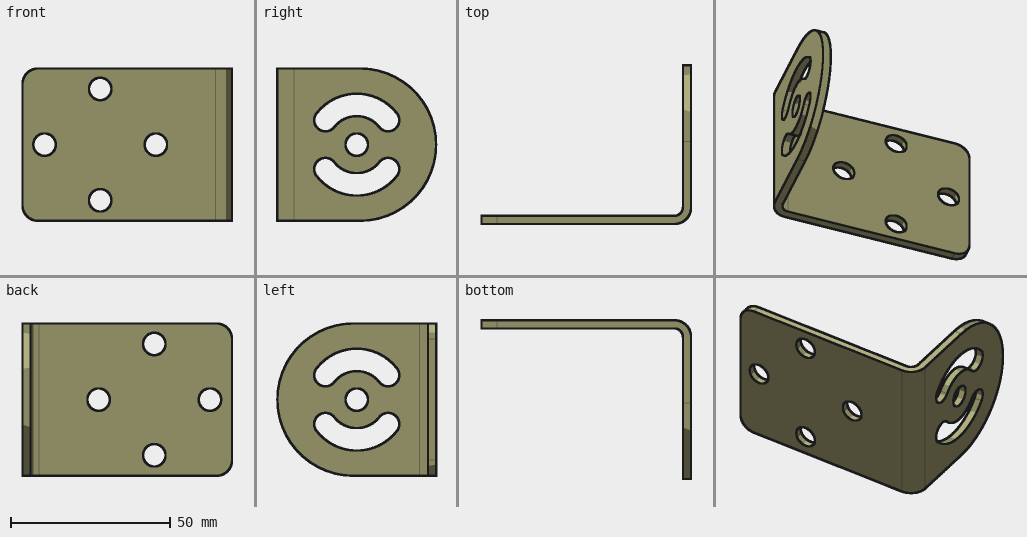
import cadquery as cq
import math

length_x = 66.0
length_y = 50.0
height = 48.0
thickness = 2.65
inner_bend_radius = 2.65
outer_bend_radius = inner_bend_radius + thickness

corner_radius = 5.0
hole_diameter = 7.0
hole_count = 4
hole_circle_radius = 17.5
hole_circle_x = 24.5

end_radius = height / 2
end_center_y = length_y - end_radius
pivot_y = 25.0
slot_width = hole_diameter
slot_radius = 12.5
slot_end_angle = 38.0

cut_margin = 1.0
cut_depth = thickness + 2 * cut_margin


def bent_sheet():
    """L-shaped sheet with a rounded bend, extruded along Z."""
    bend_x = length_x - outer_bend_radius
    bend_y = outer_bend_radius
    diagonal = math.sqrt(0.5)
    outer_mid = (bend_x + outer_bend_radius * diagonal, bend_y - outer_bend_radius * diagonal)
    inner_mid = (bend_x + inner_bend_radius * diagonal, bend_y - inner_bend_radius * diagonal)
    return (
        cq.Workplane("XY", origin=(0, 0, -height / 2))
        .moveTo(0, 0)
        .lineTo(bend_x, 0)
        .threePointArc(outer_mid, (length_x, bend_y))
        .lineTo(length_x, length_y)
        .lineTo(length_x - thickness, length_y)
        .lineTo(length_x - thickness, bend_y)
        .threePointArc(inner_mid, (bend_x, thickness))
        .lineTo(0, thickness)
        .close()
        .extrude(height)
    )


def rounded_outline():
    """Envelope that rounds the free ends of both flanges."""
    mounting_outline = (
        cq.Workplane("XZ")
        .rect(length_x, height)
        .extrude(-length_y)
        .translate((length_x / 2, 0, 0))
        .edges("|Y and <X")
        .fillet(corner_radius)
    )
    pivot_outline = (
        cq.Workplane("YZ")
        .moveTo(0, -end_radius)
        .lineTo(end_center_y, -end_radius)
        .threePointArc((length_y, 0), (end_center_y, end_radius))
        .lineTo(0, end_radius)
        .close()
        .extrude(length_x)
    )
    return mounting_outline.intersect(pivot_outline)


def mounting_holes():
    """Four holes on a circle through the mounting flange."""
    return (
        cq.Workplane("XZ", origin=(hole_circle_x, -cut_margin, 0))
        .polarArray(hole_circle_radius, 0, 360, hole_count)
        .circle(hole_diameter / 2)
        .extrude(-cut_depth)
    )


def pivot_plane():
    """Plane just inside the pivot flange, centered on the pivot."""
    return cq.Workplane("YZ", origin=(length_x - thickness - cut_margin, pivot_y, 0))


def pivot_hole():
    return pivot_plane().circle(hole_diameter / 2).extrude(cut_depth)


def curved_slot(side):
    """Arc slot around the pivot: side is +1 above it and -1 below it."""
    end_angle = math.radians(slot_end_angle)
    inner_radius = slot_radius - slot_width / 2
    outer_radius = slot_radius + slot_width / 2

    def at(radius, angle):
        return (radius * math.cos(angle), side * radius * math.sin(angle))

    center_y, center_z = at(slot_radius, end_angle)
    bulge_y = center_y + slot_width / 2 * math.sin(end_angle)
    bulge_z = center_z - side * slot_width / 2 * math.cos(end_angle)
    far_angle = math.pi - end_angle
    return (
        pivot_plane()
        .moveTo(*at(inner_radius, end_angle))
        .threePointArc((bulge_y, bulge_z), at(outer_radius, end_angle))
        .threePointArc((0, side * outer_radius), at(outer_radius, far_angle))
        .threePointArc((-bulge_y, bulge_z), at(inner_radius, far_angle))
        .threePointArc((0, side * inner_radius), at(inner_radius, end_angle))
        .close()
        .extrude(cut_depth)
    )


result = bent_sheet().intersect(rounded_outline())
result = result.cut(mounting_holes()).cut(pivot_hole())
for slot_side in (1, -1):
    result = result.cut(curved_slot(slot_side))